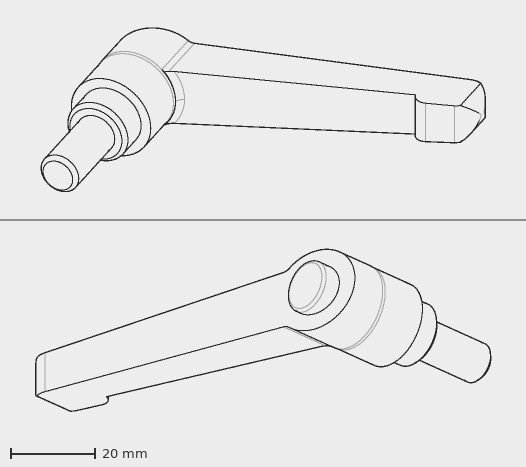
import cadquery as cq
import math

hub_radius = 10.6
sleeve_radius = 10.5
sleeve_height = 12.0
step_top = 12.85
relief_margin = 0.9
collar_radius = 8.0
collar_length = 8.0
stud_diameter = 10.0
stud_end = 28.0
end_chamfer = 1.1
button_radius = 6.5
button_top = 27.9
button_fillet = 0.7

grip_end = 78.0
top_angle = 16.0
top_at_axis = 24.8
under_angle = 20.0
under_at_axis = 10.2
under_crown = 1.5
notch_crown = 0.02
grip_half_width = 7.7
tip_half_width = 5.2
tip_start = 75.2
root_fillet = 2.3

knob_center_x = 66.6
knob_radius = 2.8
notch_x = 63.9
knob_mid_angle = 235.0
tip_corner_x = 74.1
tip_lower_mid = (76.7, 36.3)
tip_height = 41.0
tip_upper_mid = (76.6, 44.5)
top_round_start = 72.2

top_slope = math.tan(math.radians(top_angle))
under_slope = math.tan(math.radians(under_angle))
side_slope = (grip_half_width - tip_half_width) / tip_start


def top_y(x):
    return top_at_axis + x * top_slope


def under_y(x):
    return under_at_axis + x * under_slope


def half_width(x):
    return grip_half_width - x * side_slope


notch_y = under_y(notch_x)
knob_center_y = notch_y + math.sqrt(knob_radius**2 - (knob_center_x - notch_x) ** 2)


def on_knob(degrees):
    """Point on the knob circle at an angle from +X."""
    a = math.radians(degrees)
    return (knob_center_x + knob_radius * math.cos(a), knob_center_y + knob_radius * math.sin(a))


knob_end_x, knob_end_y = on_knob(under_angle - 90)
tip_corner_y = knob_end_y + (tip_corner_x - knob_end_x) * under_slope


def rod(radius, y_low, y_high):
    """Round bar on the Y axis."""
    return cq.Workplane("XZ", origin=(0, y_high, 0)).circle(radius).extrude(y_high - y_low)


def hub():
    """Cylinder cut off by the sloping upper face."""
    outline = [
        (-hub_radius, 0),
        (hub_radius, 0),
        (hub_radius, top_y(hub_radius)),
        (-hub_radius, top_y(-hub_radius)),
    ]
    slab = cq.Workplane("XY").polyline(outline).close().extrude(hub_radius, both=True)
    return slab.intersect(rod(hub_radius, 0, top_y(hub_radius)))


def grip_plan():
    """Tapered plan of the grip with its round end, as tall as needed to trim the sides."""
    return (
        cq.Workplane("XZ")
        .moveTo(0, -half_width(0))
        .lineTo(tip_start, -tip_half_width)
        .threePointArc((grip_end, 0), (tip_start, tip_half_width))
        .lineTo(0, half_width(0))
        .close()
        .extrude(-grip_end)
    )


def shank_section(part, offset, x, crown):
    """Four-sided section, wider than the grip, with a bowed underside; local axes are Y and Z."""
    edge_y = under_y(x) + crown
    return (
        part.workplane(offset=offset)
        .moveTo(edge_y, -hub_radius)
        .lineTo(top_y(x), -hub_radius)
        .lineTo(top_y(x), hub_radius)
        .lineTo(edge_y, hub_radius)
        .threePointArc((under_y(x), 0), (edge_y, -hub_radius))
        .close()
    )


def shank():
    """Stretch from the hub axis to the notch, before the sides are trimmed."""
    root = shank_section(cq.Workplane("YZ"), 0, 0, under_crown)
    return shank_section(root, notch_x, notch_x, notch_crown).loft(ruled=True)


def head():
    """Outer stretch of the grip with the knob and the rounded tip, before the sides are trimmed."""
    outline = (
        cq.Workplane("XY")
        .moveTo(notch_x, notch_y)
        .threePointArc(on_knob(knob_mid_angle), (knob_end_x, knob_end_y))
        .lineTo(tip_corner_x, tip_corner_y)
        .threePointArc(tip_lower_mid, (grip_end, tip_height))
        .threePointArc(tip_upper_mid, (top_round_start, top_y(top_round_start)))
        .lineTo(notch_x, top_y(notch_x))
        .close()
    )
    return outline.extrude(hub_radius, both=True)


def blended_body():
    """Hub and grip in one, with a fillet where the grip leaves the hub."""
    trimmed_shank = shank().intersect(grip_plan())
    trimmed_head = head().intersect(grip_plan())
    joined = hub().union(trimmed_shank)
    root_zone = cq.selectors.BoxSelector(
        (hub_radius / 2, sleeve_height, -half_width(0)),
        (hub_radius, top_y(hub_radius), half_width(0)),
    )
    return joined.edges(root_zone).fillet(root_fillet).union(trimmed_head)


def sleeve_relief():
    """Thin ring that takes the lower hub down to the sleeve, with a conical step at its top."""
    outer = hub_radius + relief_margin
    return (
        cq.Workplane("XY")
        .polyline([
            (sleeve_radius, 0),
            (outer, 0),
            (outer, step_top),
            (hub_radius, step_top),
            (sleeve_radius, sleeve_height),
        ])
        .close()
        .revolve(360, (0, 0, 0), (0, 1, 0))
    )


def collar():
    return rod(collar_radius, -collar_length, 0).faces("<Y").chamfer(end_chamfer)


def stud():
    return rod(stud_diameter / 2, -stud_end, 0).faces("<Y").chamfer(end_chamfer)


def button():
    return rod(button_radius, 0, button_top).faces(">Y").edges().fillet(button_fillet)


result = blended_body().cut(sleeve_relief()).union(collar()).union(stud()).union(button())